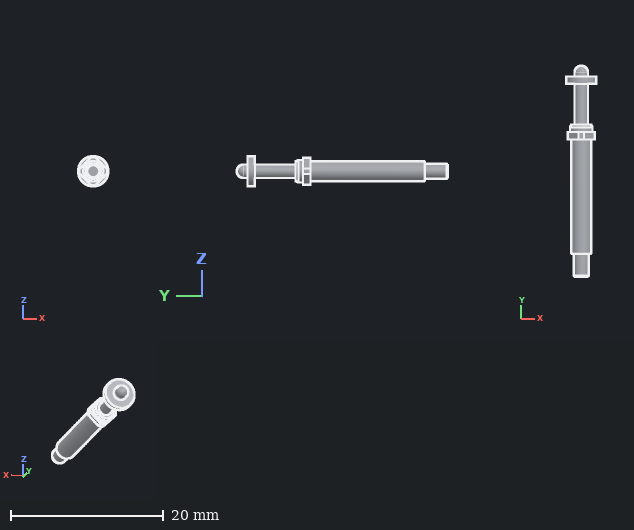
import cadquery as cq


total_length = 27.7
tail_length = 3.0
barrel_length = 15.0
wrench_length = 1.0
collar_length = 1.0
disc_thickness = 1.0
rod_length = 5.3

tail_diameter = 2.0
barrel_diameter = 2.65
wrench_diameter = 3.6
collar_diameter = 3.0
rod_diameter = 1.8
disc_diameter = 4.0

across_flats = collar_diameter
flat_angle = 45

tail_chamfer = 0.2
barrel_fillet = 0.22
collar_chamfer_length = 0.42
collar_chamfer_depth = 0.2

barrel_rear = -barrel_length
tail_rear = barrel_rear - tail_length
collar_rear = wrench_length
collar_front = collar_rear + collar_length
disc_rear = collar_front + rod_length
disc_front = disc_rear + disc_thickness
nose_tip = tail_rear + total_length

tail_radius = tail_diameter / 2
barrel_radius = barrel_diameter / 2
collar_radius = collar_diameter / 2
rod_radius = rod_diameter / 2
disc_radius = disc_diameter / 2


def make_turned_body():
    """Revolve the half profile of tail, barrel, collar, rod, disc and round nose."""
    dome_rear = nose_tip - rod_radius
    profile = (
        cq.Workplane("XY")
        .moveTo(0, tail_rear)
        .lineTo(tail_radius - tail_chamfer, tail_rear)
        .lineTo(tail_radius, tail_rear + tail_chamfer)
        .lineTo(tail_radius, barrel_rear)
        .lineTo(barrel_radius - barrel_fillet, barrel_rear)
        .radiusArc((barrel_radius, barrel_rear + barrel_fillet), -barrel_fillet)
        .lineTo(barrel_radius, 0)
        .lineTo(collar_radius, 0)
        .lineTo(collar_radius, collar_front - collar_chamfer_length)
        .lineTo(collar_radius - collar_chamfer_depth, collar_front)
        .lineTo(rod_radius, collar_front)
        .lineTo(rod_radius, disc_rear)
        .lineTo(disc_radius, disc_rear)
        .lineTo(disc_radius, disc_front)
        .lineTo(rod_radius, disc_front)
        .lineTo(rod_radius, dome_rear)
        .radiusArc((0, nose_tip), -rod_radius)
        .close()
    )
    return profile.revolve(360, (0, 0, 0), (0, 1, 0))


def make_wrench_collar():
    """Round collar cut by four flats at 45 degrees, leaving rounded corners on X and Z."""
    round_blank = cq.Workplane("XZ").circle(wrench_diameter / 2).extrude(-wrench_length)
    square_blank = (
        cq.Workplane("XZ")
        .rect(across_flats, across_flats)
        .extrude(-wrench_length)
        .rotate((0, 0, 0), (0, 1, 0), flat_angle)
    )
    return round_blank.intersect(square_blank)


result = make_turned_body().union(make_wrench_collar())